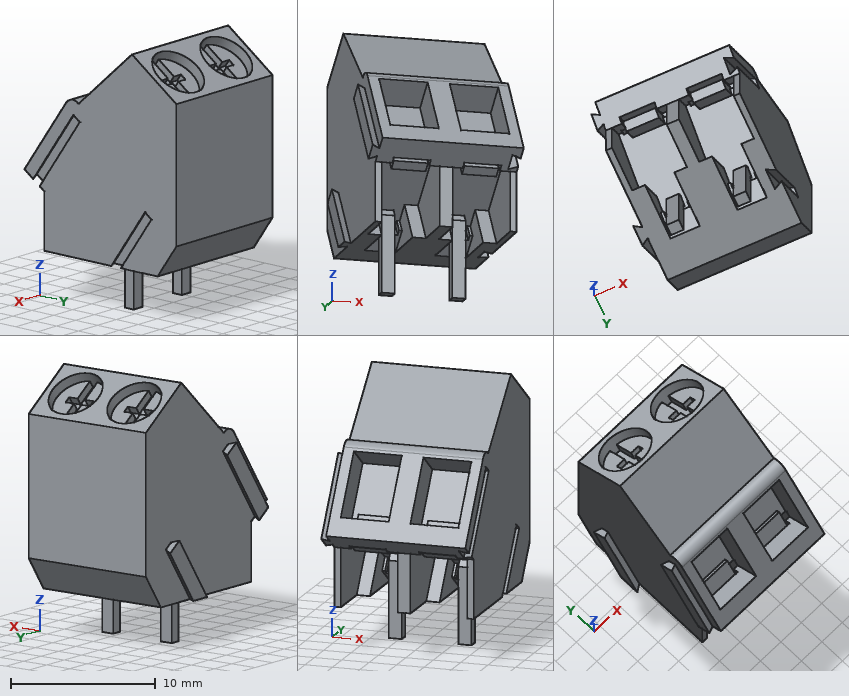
import cadquery as cq
import math


POLE_COUNT = 2
PITCH = 5.08
HOUSING_WIDTH = POLE_COUNT * PITCH
HALF_WIDTH = HOUSING_WIDTH / 2
POLE_POSITIONS = [(i - (POLE_COUNT - 1) / 2) * PITCH for i in range(POLE_COUNT)]

TILT = math.radians(35)
SIN_TILT = math.sin(TILT)
COS_TILT = math.cos(TILT)

HOUSING_HEIGHT = 15.5
HOUSING_DEPTH = 13.9
OVERHANG = 1.8
NOSE_HEIGHT = 5.53
RIDGE_SETBACK = 4.06
REAR_CHAMFER = 1.72
LIP_RADIUS = 0.78
LIP_RISE = 6.62
VALLEY_Y = -8.95
VALLEY_Z = 11.09
NOSE_Y = -HOUSING_DEPTH
FRONT_WALL_Y = NOSE_Y + OVERHANG

ENTRY_WIDTH = 3.5
ENTRY_DEPTH = 2.35
ENTRY_FLOOR_RISE = 1.45
ENTRY_TOP_RISE = 6.36
FLOOR_LEDGE_DEPTH = OVERHANG / COS_TILT
LEAF_NOTCH_WIDTH = 2.66
LEAF_NOTCH_DEPTH = 1.7

CAVITY_WIDTH = 4.15
CAVITY_CEILING_RISE = 1.95
CAVITY_DEPTH = 7.44
PIN_SLOT_WIDTH = 2.22
PIN_SLOT_DEPTH = 8.94
PIN_RELIEF_WIDTH = 1.8
PIN_RELIEF_DEPTH = 9.37
CHANNEL_CEILING_RISE = 0.92
BELOW_HOUSING = HOUSING_HEIGHT

DOVETAIL_TIP_WIDTH = 1.3
DOVETAIL_ROOT_WIDTH = 0.72
RIB_HEIGHT = 0.55
GROOVE_DEPTH = 0.66
FRONT_DOVETAIL_DEPTH = 1.34
FRONT_DOVETAIL_RISE = 6.4
REAR_DOVETAIL_DEPTH = 10.04
REAR_DOVETAIL_RISE = 5.4
TRIM_BLOCK = (2 * HOUSING_WIDTH, 2 * HOUSING_DEPTH, HOUSING_HEIGHT)

SCREW_DIAMETER = 4.0
SCREW_LENGTH = 2.0
SCREW_RECESS = 0.8
DRIVE_DEPTH = 0.6
LONG_SLOT_WIDTH = 0.64
CROSS_SLOT_LENGTH = 2.1
CROSS_SLOT_WIDTH = 0.5

PIN_WIDTH = 0.95
PIN_THICKNESS = 0.8
PIN_LENGTH = 3.5
PIN_FRONT_Y = -6.5
PIN_LEG_DEPTH = 8.05
LEAF_WIDTH = 2.46
LEAF_THICKNESS = 0.75
LEAF_DEPTH = 2.07
LEAF_BOTTOM_RISE = 0.1
LEAF_TOP_RISE = 2.5
LEAF_REAR_DEPTH = LEAF_DEPTH + LEAF_THICKNESS
BRIDGE_INSET = 0.2
BRIDGE_BOTTOM_RISE = CAVITY_CEILING_RISE + BRIDGE_INSET


def slope_point(depth, rise):
    """(Y, Z) of a point given in the tilted frame at the nose edge."""
    y = NOSE_Y + depth * COS_TILT + rise * SIN_TILT
    z = NOSE_HEIGHT - depth * SIN_TILT + rise * COS_TILT
    return y, z


def slope_plane(x, depth, rise):
    """Plane square to the screw axes: local x is X, local y is depth and local z is rise."""
    return cq.Plane(origin=(x, *slope_point(depth, rise)), xDir=(1, 0, 0), normal=(0, SIN_TILT, COS_TILT))


def slope_box(x, width, depths, rises):
    """Box in the tilted frame, centred on x."""
    front, rear = depths
    bottom, top = rises
    plane = slope_plane(x, (front + rear) / 2, bottom)
    return cq.Workplane(plane).rect(width, rear - front).extrude(top - bottom)



def housing_blank():
    lip_end = slope_point(0, LIP_RISE)
    lip_centre = slope_point(LIP_RADIUS, LIP_RISE)
    lip_top = (lip_centre[0], lip_centre[1] + LIP_RADIUS)
    rear_top_z = HOUSING_HEIGHT - RIDGE_SETBACK * math.tan(TILT)
    outline = (
        cq.Workplane("YZ", origin=(-HALF_WIDTH, 0, 0))
        .moveTo(-REAR_CHAMFER, 0)
        .lineTo(0, REAR_CHAMFER / math.tan(TILT))
        .lineTo(0, rear_top_z)
        .lineTo(-RIDGE_SETBACK, HOUSING_HEIGHT)
        .lineTo(VALLEY_Y, VALLEY_Z)
        .threePointArc(lip_top, lip_end)
        .lineTo(NOSE_Y, NOSE_HEIGHT)
        .lineTo(FRONT_WALL_Y, NOSE_HEIGHT - OVERHANG * math.tan(TILT))
        .lineTo(FRONT_WALL_Y, 0)
        .close()
    )
    return outline.extrude(HOUSING_WIDTH)


def dovetail(x, height, depth, rises):
    """Dovetail bar along the slope: narrow root at x, wide tip at x - height."""
    bottom, top = rises
    outline = [
        (0, -DOVETAIL_ROOT_WIDTH / 2),
        (-height, -DOVETAIL_TIP_WIDTH / 2),
        (-height, DOVETAIL_TIP_WIDTH / 2),
        (0, DOVETAIL_ROOT_WIDTH / 2),
    ]
    return cq.Workplane(slope_plane(x, depth, bottom)).polyline(outline).close().extrude(top - bottom)


def dovetail_pair(x, height):
    front = dovetail(x, height, FRONT_DOVETAIL_DEPTH, (0, FRONT_DOVETAIL_RISE))
    rear = dovetail(x, height, REAR_DOVETAIL_DEPTH, (-BELOW_HOUSING, REAR_DOVETAIL_RISE))
    trimmed_rear = rear.intersect(cq.Workplane("XY").box(*TRIM_BLOCK, centered=(True, True, False)))
    return front.union(trimmed_rear)


def wire_entry(x):
    pocket = slope_box(x, ENTRY_WIDTH, (0, ENTRY_DEPTH), (ENTRY_FLOOR_RISE, ENTRY_TOP_RISE))
    leaf_notch = slope_box(x, LEAF_NOTCH_WIDTH, (LEAF_NOTCH_DEPTH, ENTRY_DEPTH), (0, ENTRY_FLOOR_RISE))
    return pocket.union(leaf_notch)


def bottom_cavity(x):
    main_rises = (-BELOW_HOUSING, CAVITY_CEILING_RISE)
    channel_rises = (-BELOW_HOUSING, CHANNEL_CEILING_RISE)
    cavity = slope_box(x, CAVITY_WIDTH, (FLOOR_LEDGE_DEPTH, CAVITY_DEPTH), main_rises)
    pin_slot = slope_box(x, PIN_SLOT_WIDTH, (FLOOR_LEDGE_DEPTH, PIN_SLOT_DEPTH), main_rises)
    pin_relief = slope_box(x, PIN_RELIEF_WIDTH, (FLOOR_LEDGE_DEPTH, PIN_RELIEF_DEPTH), main_rises)
    channel = slope_box(x, PIN_SLOT_WIDTH, (FLOOR_LEDGE_DEPTH, HOUSING_DEPTH), channel_rises)
    return cavity.union(pin_slot).union(pin_relief).union(channel)



def screw_plane(x, below_face):
    """Plane square to the screw axis, the given distance below the sloped top face."""
    y = -RIDGE_SETBACK / 2
    z = HOUSING_HEIGHT - RIDGE_SETBACK / 2 * math.tan(TILT)
    origin = (x, y - below_face * SIN_TILT, z - below_face * COS_TILT)
    return cq.Plane(origin=origin, xDir=(1, 0, 0), normal=(0, SIN_TILT, COS_TILT))


def screw_bore(x):
    bottom = SCREW_RECESS + SCREW_LENGTH
    return cq.Workplane(screw_plane(x, bottom)).circle(SCREW_DIAMETER / 2).extrude(bottom)


def screw(x):
    body = cq.Workplane(screw_plane(x, SCREW_RECESS)).circle(SCREW_DIAMETER / 2).extrude(-SCREW_LENGTH)
    drive = cq.Workplane(screw_plane(x, SCREW_RECESS))
    long_slot = drive.rect(LONG_SLOT_WIDTH, SCREW_DIAMETER).extrude(-DRIVE_DEPTH)
    cross_slot = drive.rect(CROSS_SLOT_LENGTH, CROSS_SLOT_WIDTH).extrude(-DRIVE_DEPTH)
    return body.cut(long_slot).cut(cross_slot)



def bend_point(depth, y):
    """(Y, Z) where the leg face at this depth meets the vertical pin face at y."""
    rise = (y - NOSE_Y - depth * COS_TILT) / SIN_TILT
    return slope_point(depth, rise)


def terminal(x):
    """Solder pin bent along the slope, joined by a bridge to the contact leaf in the wire entry."""
    leg_rear_depth = PIN_LEG_DEPTH + PIN_THICKNESS
    pin_rear_y = PIN_FRONT_Y + PIN_THICKNESS
    bridge_top_rise = BRIDGE_BOTTOM_RISE + PIN_THICKNESS
    strip_outline = [
        (PIN_FRONT_Y, -PIN_LENGTH),
        bend_point(PIN_LEG_DEPTH, PIN_FRONT_Y),
        slope_point(PIN_LEG_DEPTH, BRIDGE_BOTTOM_RISE),
        slope_point(LEAF_REAR_DEPTH, BRIDGE_BOTTOM_RISE),
        slope_point(LEAF_REAR_DEPTH, bridge_top_rise),
        slope_point(leg_rear_depth, bridge_top_rise),
        bend_point(leg_rear_depth, pin_rear_y),
        (pin_rear_y, -PIN_LENGTH),
    ]
    strip_start = cq.Workplane("YZ", origin=(x - PIN_WIDTH / 2, 0, 0))
    strip = strip_start.polyline(strip_outline).close().extrude(PIN_WIDTH)
    leaf_rises = (LEAF_BOTTOM_RISE, LEAF_TOP_RISE)
    leaf = slope_box(x, LEAF_WIDTH, (LEAF_DEPTH, LEAF_REAR_DEPTH), leaf_rises)
    return strip.union(leaf)



screws = [screw(x) for x in POLE_POSITIONS]
terminals = [terminal(x) for x in POLE_POSITIONS]

housing = housing_blank().union(dovetail_pair(-HALF_WIDTH, RIB_HEIGHT))
housing = housing.cut(dovetail_pair(HALF_WIDTH, GROOVE_DEPTH))
for pole_x in POLE_POSITIONS:
    housing = housing.cut(wire_entry(pole_x))
    housing = housing.cut(bottom_cavity(pole_x))
    housing = housing.cut(screw_bore(pole_x))
for metal_part in terminals:
    housing = housing.cut(metal_part)

result = cq.Compound.makeCompound([
    housing.val(),
    *[body.val() for body in screws],
    *[body.val() for body in terminals],
])